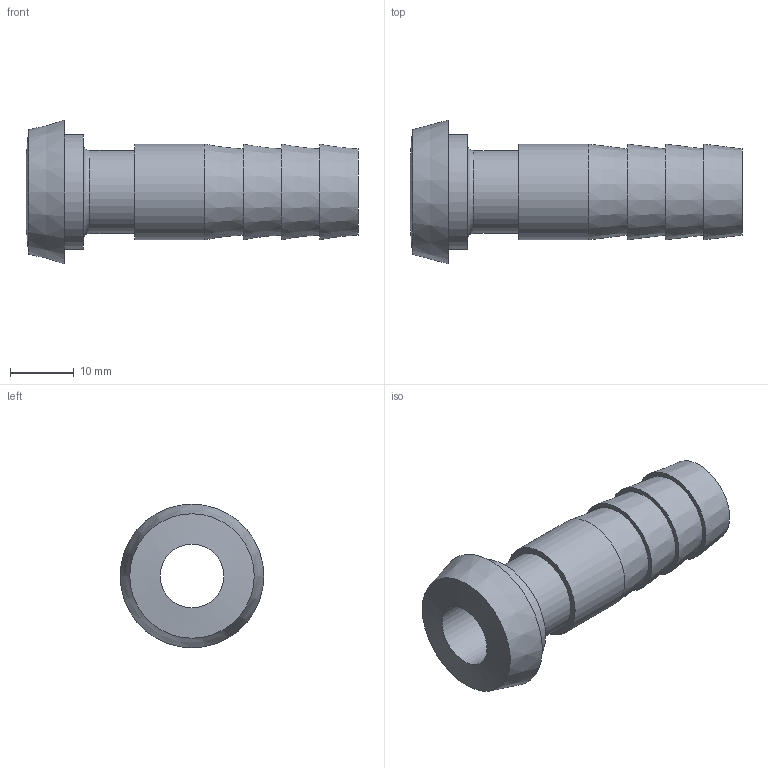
import cadquery as cq

total_length = 52.0
bore_radius = 10.0 / 2

nose_end = 6.0
nose_face_depth = 0.4
nose_front_radius = 9.75
nose_rear_radius = 22.5 / 2

collar_end = 9.0
collar_radius = 18.0 / 2

neck_end = 17.0
neck_radius = 13.0 / 2
neck_fillet = 1.0

shank_radius = 15.0 / 2
barb_count = 4
barb_length = 6.0
barb_tip_radius = 6.75
shank_end = total_length - barb_count * barb_length


def add_barbs(profile):
    """Extend the profile with one sawtooth per barb, starting at the shank end."""
    for index in range(barb_count):
        start = shank_end + index * barb_length
        profile = profile.lineTo(start, shank_radius)
        profile = profile.lineTo(start + barb_length, barb_tip_radius)
    return profile


def make_nipple():
    """Revolve the half section about the X axis; the bore is part of the section."""
    profile = (
        cq.Workplane("XY")
        .moveTo(0, bore_radius)
        .lineTo(nose_face_depth, nose_front_radius)
        .lineTo(nose_end, nose_rear_radius)
        .lineTo(nose_end, collar_radius)
        .lineTo(collar_end, collar_radius)
        .lineTo(collar_end, neck_radius + neck_fillet)
        .radiusArc((collar_end + neck_fillet, neck_radius), -neck_fillet)
        .lineTo(neck_end, neck_radius)
        .lineTo(neck_end, shank_radius)
    )
    profile = add_barbs(profile)
    profile = profile.lineTo(total_length, bore_radius).close()
    return profile.revolve(360, (0, 0, 0), (1, 0, 0))


result = make_nipple()